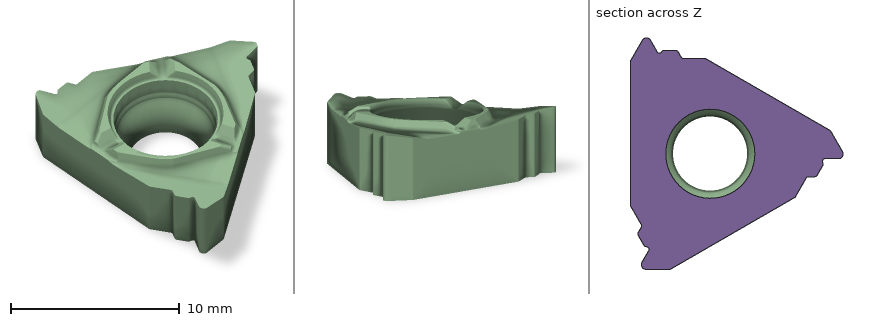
import cadquery as cq
import math

CORNERS = 3
CORNER_STEP = 360 / CORNERS
SIDE_NORMAL_ANGLE = 60.0
THICKNESS = 4.1
INSCRIBED_RADIUS = 9.525 / 2
FLOOR_Z = 3.51
REACH = 12.0
BLANK_RADIUS = 10.0
MATCH_DISTANCE = 0.01

TIP_Y = 6.88
TIP_WIDTH = 0.34
TIP_RADIUS = 0.25
LEFT_FLANK_START_Y = 5.49
FLANK_ANGLE = 60.0
RELIEF_Y = 5.98
RELIEF_WIDTH = 0.14
RELIEF_RADIUS = 0.08
CREST_Y = 6.14
CREST_END_X = -1.95
CREST_RADIUS = 0.2
STEP_Y = 5.66
STEP_RADIUS = 0.14

RAKE_START_Y = 4.28
RAKE_ANGLE = 10.0
RAKE_BLEND_RADIUS = 0.5
RAKE_BASE_Z = 1.0

BOSS_FRONT_TOP = 3.7
BOSS_FRONT_WALL_ANGLE = 30.0
BOSS_SIDE_TOP = 3.62
BOSS_SIDE_WALL_ANGLE = 27.0
BOSS_SIDE_TURN = 32.0
BOSS_FOOT_RADIUS = 0.32

LEDGE_Z = 3.6
LEDGE_WALL_ANGLE = 20.0
LEDGE_RADIUS = 0.2
SIDE_LEDGE_TOP = 4.25
SIDE_LEDGE_START_Y = -1.2
SIDE_LEDGE_LENGTH = 4.2

RECESS_RIM_RADIUS = 3.44
BORE_TOP_RADIUS = 3.1
BORE_BOTTOM_RADIUS = 2.99
BORE_BOTTOM_Z = 2.66
SEAT_TOP_RADIUS = 2.86
SEAT_TOP_Z = 2.32
SEAT_BLEND_SAG = 0.03
HOLE_RADIUS = 4.4 / 2
HOLE_TOP_Z = 0.77

NOTCH_ANGLE = 167.7
NOTCH_OFFSET = 0.13
NOTCH_START = 2.9
NOTCH_LENGTH = 3.0
NOTCH_FLOOR_WIDTH = 0.07
NOTCH_WALL_ANGLE = 39.0
NOTCH_RADIUS = 0.28
NOTCH_OUTER_ROUNDING = 0.2
NOTCH_INNER_ROUNDING = 0.1


def cosd(angle):
    return math.cos(math.radians(angle))


def sind(angle):
    return math.sin(math.radians(angle))


def tand(angle):
    return math.tan(math.radians(angle))


def rotate_point(point, angle):
    x, y = point
    return x * cosd(angle) - y * sind(angle), x * sind(angle) + y * cosd(angle)


def at_each_corner(shape):
    """Three copies of a shape, turned about Z, as one workplane."""
    copies = shape
    for index in range(1, CORNERS):
        copies = copies.union(shape.rotate((0, 0, 0), (0, 0, 1), index * CORNER_STEP))
    return copies


def corner_outline():
    """Corner points, clockwise, each with the radius that rounds it."""
    tip_left = -INSCRIBED_RADIUS + (TIP_Y - LEFT_FLANK_START_Y) / tand(FLANK_ANGLE)
    tip_right = tip_left + TIP_WIDTH
    relief_left = tip_right + (TIP_Y - RELIEF_Y) / tand(FLANK_ANGLE)
    relief_right = relief_left + RELIEF_WIDTH
    crest_start = relief_right + (CREST_Y - RELIEF_Y)
    step_start = CREST_END_X + (CREST_Y - STEP_Y) / tand(FLANK_ANGLE)
    step_end = (INSCRIBED_RADIUS - STEP_Y * sind(SIDE_NORMAL_ANGLE)) / cosd(SIDE_NORMAL_ANGLE)
    return [
        ((-INSCRIBED_RADIUS, LEFT_FLANK_START_Y), 0),
        ((tip_left, TIP_Y), TIP_RADIUS),
        ((tip_right, TIP_Y), TIP_RADIUS),
        ((relief_left, RELIEF_Y), RELIEF_RADIUS),
        ((relief_right, RELIEF_Y), RELIEF_RADIUS),
        ((crest_start, CREST_Y), 0),
        ((CREST_END_X, CREST_Y), CREST_RADIUS),
        ((step_start, STEP_Y), STEP_RADIUS),
        ((step_end, STEP_Y), 0),
    ]


def make_prism():
    """Full-height body with the thread form on every corner."""
    points = []
    rounding = {}
    for index in range(CORNERS):
        for point, radius in corner_outline():
            turned = rotate_point(point, -index * CORNER_STEP)
            points.append(turned)
            if radius > 0:
                rounding.setdefault(radius, []).append(turned)
    prism = cq.Workplane("XY").polyline(points).close().extrude(THICKNESS)
    for radius, corners in rounding.items():
        edges = []
        for edge in prism.edges("|Z").vals():
            middle = edge.Center()
            if any(math.hypot(middle.x - x, middle.y - y) < MATCH_DISTANCE for x, y in corners):
                edges.append(edge)
        prism = prism.newObject(edges).fillet(radius)
    return prism


def start_at_wall(top, side, floor_z, wall_angle, radius):
    """XZ sketch: a wall sloping down from the boss top, rounded onto a floor.

    The wall starts at distance top from the axis; side is +1 when the floor
    lies outside the wall and -1 when it lies inside.
    """
    turn = 90 - wall_angle
    tangent = radius * tand(turn / 2)
    corner = top + side * (THICKNESS - floor_z) * tand(wall_angle)
    arc_start = (corner - side * tangent * sind(wall_angle), floor_z + tangent * cosd(wall_angle))
    arc_end = (corner + side * tangent, floor_z)
    arc_mid = (
        arc_end[0] - side * radius * sind(turn / 2),
        floor_z + radius * (1 - cosd(turn / 2)),
    )
    sketch = cq.Workplane("XZ").moveTo(top, THICKNESS).lineTo(*arc_start)
    return sketch.threePointArc(arc_mid, arc_end)


def outside_profile(top, floor_z, wall_angle, radius):
    """Closed XZ profile of everything outside a wall and above its floor."""
    sketch = start_at_wall(top, 1, floor_z, wall_angle, radius)
    return sketch.lineTo(REACH, floor_z).lineTo(REACH, THICKNESS).close()


def make_boss_cutter():
    """Material to remove around one third of the boss, for the +Y corner."""
    front = (BOSS_FRONT_TOP, FLOOR_Z, BOSS_FRONT_WALL_ANGLE, BOSS_FOOT_RADIUS)
    side = (BOSS_SIDE_TOP, FLOOR_Z, BOSS_SIDE_WALL_ANGLE, BOSS_FOOT_RADIUS)
    straight = outside_profile(*front).extrude(REACH)
    rounded = outside_profile(*front).revolve(BOSS_SIDE_TURN, (0, 0, 0), (0, 1, 0))
    slanting = outside_profile(*side).extrude(REACH, both=True)
    slanting = slanting.rotate((0, 0, 0), (0, 0, 1), BOSS_SIDE_TURN)
    return [part.rotate((0, 0, 0), (0, 0, 1), 90) for part in (straight, rounded, slanting)]


def make_boss_on_floor():
    """Round blank with the boss left standing above the flat floor."""
    blank = cq.Workplane("XY").circle(BLANK_RADIUS).extrude(THICKNESS)
    for index in range(CORNERS):
        for cutter in make_boss_cutter():
            blank = blank.cut(cutter.rotate((0, 0, 0), (0, 0, 1), index * CORNER_STEP))
    return blank


def make_rake():
    """Wedge that lifts one corner, blended into the flat floor."""
    tangent = RAKE_BLEND_RADIUS * tand(RAKE_ANGLE / 2)
    blend_start = RAKE_START_Y - tangent
    blend_mid = (
        blend_start + RAKE_BLEND_RADIUS * sind(RAKE_ANGLE / 2),
        FLOOR_Z + RAKE_BLEND_RADIUS * (1 - cosd(RAKE_ANGLE / 2)),
    )
    blend_end = (RAKE_START_Y + tangent * cosd(RAKE_ANGLE), FLOOR_Z + tangent * sind(RAKE_ANGLE))
    outer_z = FLOOR_Z + (REACH - RAKE_START_Y) * tand(RAKE_ANGLE)
    return (
        cq.Workplane("YZ")
        .moveTo(blend_start, FLOOR_Z)
        .threePointArc(blend_mid, blend_end)
        .lineTo(REACH, outer_z)
        .lineTo(REACH, RAKE_BASE_Z)
        .lineTo(blend_start, RAKE_BASE_Z)
        .close()
        .extrude(REACH / 2, both=True)
    )


def make_side_ledge():
    """Cutter for the ledge beside one long side (built on +X, turned to -X)."""
    profile = outside_profile(SIDE_LEDGE_TOP, LEDGE_Z, LEDGE_WALL_ANGLE, LEDGE_RADIUS)
    cutter = profile.extrude(SIDE_LEDGE_LENGTH)
    return cutter.translate((0, -SIDE_LEDGE_START_Y, 0)).rotate((0, 0, 0), (0, 0, 1), 180)


def notch_half_section():
    """Half of the notch section above its floor, from the floor out to the mouth."""
    root = NOTCH_FLOOR_WIDTH / 2
    floor_end = (root, 0)
    blend_mid = (
        root + NOTCH_RADIUS * sind(NOTCH_WALL_ANGLE / 2),
        NOTCH_RADIUS * (1 - cosd(NOTCH_WALL_ANGLE / 2)),
    )
    blend_end = (
        root + NOTCH_RADIUS * sind(NOTCH_WALL_ANGLE),
        NOTCH_RADIUS * (1 - cosd(NOTCH_WALL_ANGLE)),
    )
    depth = THICKNESS - LEDGE_Z
    mouth = (blend_end[0] + (depth - blend_end[1]) / tand(NOTCH_WALL_ANGLE), depth)
    return floor_end, blend_mid, blend_end, mouth


def make_notch():
    """Cutter for one V notch with a narrow floor and rounded roots."""
    right = notch_half_section()
    left = [(-across, height) for across, height in right]
    cutter = (
        cq.Workplane("YZ", origin=(NOTCH_START, -NOTCH_OFFSET, LEDGE_Z))
        .moveTo(*left[0])
        .lineTo(*right[0])
        .threePointArc(right[1], right[2])
        .lineTo(*right[3])
        .lineTo(*left[3])
        .lineTo(*left[2])
        .threePointArc(left[1], left[0])
        .close()
        .extrude(NOTCH_LENGTH)
    )
    return cutter.rotate((0, 0, 0), (0, 0, 1), NOTCH_ANGLE)


def round_edges_below(body, top_point, radius):
    """At every corner, round the edge that runs down from a point on the boss top."""
    tops = [rotate_point(top_point, index * CORNER_STEP) for index in range(CORNERS)]
    targets = [cq.Vector(x, y, THICKNESS) for x, y in tops]
    edges = []
    for edge in body.edges().vals():
        ends = (edge.startPoint(), edge.endPoint())
        touches = any((end - target).Length < MATCH_DISTANCE for end in ends for target in targets)
        if touches and edge.Center().z < THICKNESS - MATCH_DISTANCE:
            edges.append(edge)
    return body.newObject(edges).fillet(radius)


def round_notch_outer_edge(body):
    """Round the edge where a notch breaks through the slanting boss wall."""
    across = -NOTCH_OFFSET - notch_half_section()[-1][0]
    turn = NOTCH_ANGLE - 90 - BOSS_SIDE_TURN
    along = (BOSS_SIDE_TOP + across * sind(turn)) / cosd(turn)
    return round_edges_below(body, rotate_point((along, across), NOTCH_ANGLE), NOTCH_OUTER_ROUNDING)


def round_notch_inner_edges(body):
    """Round both edges where a notch opens into the recess."""
    mouth = notch_half_section()[-1][0]
    for across in (-NOTCH_OFFSET - mouth, -NOTCH_OFFSET + mouth):
        along = math.sqrt(RECESS_RIM_RADIUS**2 - across**2)
        body = round_edges_below(body, rotate_point((along, across), NOTCH_ANGLE), NOTCH_INNER_ROUNDING)
    return body


def make_hole():
    """Revolved cutter: recess, tapered bore, hollow blend, bulging seat, hole."""
    drop = SEAT_TOP_Z - HOLE_TOP_Z
    widening = SEAT_TOP_RADIUS - HOLE_RADIUS
    seat_radius = (widening**2 + drop**2) / (2 * widening)
    half_angle = math.degrees(math.asin(drop / seat_radius)) / 2
    seat_mid = (
        HOLE_RADIUS + seat_radius * (1 - cosd(half_angle)),
        HOLE_TOP_Z + seat_radius * sind(half_angle),
    )
    sketch = start_at_wall(RECESS_RIM_RADIUS, -1, LEDGE_Z, LEDGE_WALL_ANGLE, LEDGE_RADIUS)
    return (
        sketch.lineTo(BORE_TOP_RADIUS, LEDGE_Z)
        .lineTo(BORE_BOTTOM_RADIUS, BORE_BOTTOM_Z)
        .sagittaArc((SEAT_TOP_RADIUS, SEAT_TOP_Z), -SEAT_BLEND_SAG)
        .threePointArc(seat_mid, (HOLE_RADIUS, HOLE_TOP_Z))
        .lineTo(HOLE_RADIUS, 0)
        .lineTo(0, 0)
        .lineTo(0, THICKNESS)
        .close()
        .revolve(360, (0, 0, 0), (0, 1, 0))
    )


top_form = make_boss_on_floor().union(at_each_corner(make_rake()))
insert = make_prism().intersect(top_form)
insert = insert.cut(at_each_corner(make_side_ledge()))
insert = insert.cut(at_each_corner(make_notch()))
insert = insert.cut(make_hole())
insert = round_notch_outer_edge(insert)
result = round_notch_inner_edges(insert)